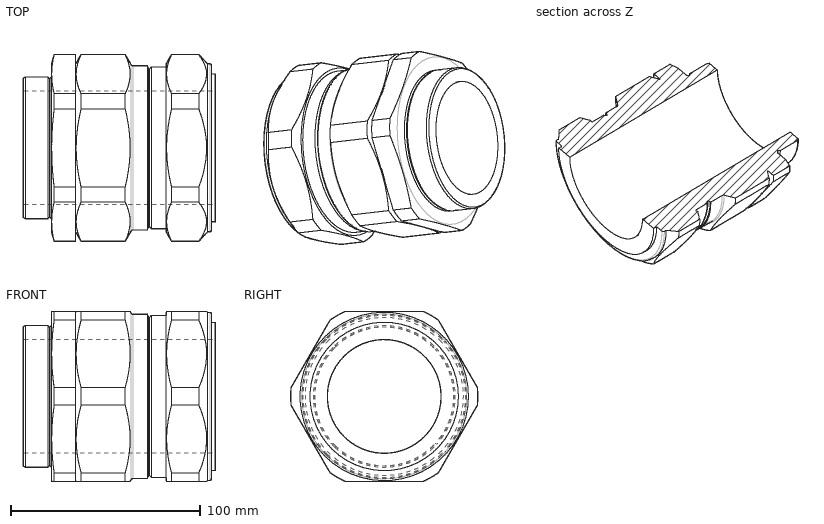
import cadquery as cq
import math

total_length = 101.7
bore_radius = 30.0
hex_sides = 6

across_flats = 90.0
corner_radius = 49.5
face_radius = 44.5
chamfer_angle = math.radians(30)
chamfer_slope = math.tan(chamfer_angle)
face_chamfer = (corner_radius - face_radius) * chamfer_slope

spigot_radius = 37.5
spigot_chamfer = 1.2
spigot_end = 13.1
spigot_relief_depth = 0.8

flange_start = 15.0
flange_end = 27.8
flange_chamfer = face_chamfer / 2

body_cone_start = 54.0
collar_radius = 43.5
collar_end = 65.9
collar_fillet = 1.0

ring_radius = 42.9
groove_radius = 41.8
groove_wall_run = 0.5
groove_floor = 0.4

nut_start = 75.6
nut_cone_start = 92.9
nut_cone_end = 97.5
lip_radius = 44.5
lip_end = 99.6
lip_round = 0.9

seal_radius = 39.2


def cylinder(start, end, radius):
    """Round bar along X between two stations."""
    return cq.Workplane("YZ", origin=(start, 0, 0)).circle(radius).extrude(end - start)


def revolve_profile(points):
    """Turn an (x, radius) outline, closed along the axis, about the X axis."""
    outline = [(points[0][0], 0), *points, (points[-1][0], 0)]
    return cq.Workplane("XY").polyline(outline).close().revolve(360, (0, 0, 0), (1, 0, 0))


def hexagon(start, end):
    """Hexagonal bar with corners on +Y and -Y and flats facing +Z and -Z."""
    corner_diameter = across_flats / math.cos(math.pi / hex_sides)
    return cq.Workplane("YZ", origin=(start, 0, 0)).polygon(hex_sides, corner_diameter).extrude(end - start)


def make_spigot():
    relief_radius = spigot_radius - spigot_relief_depth
    relief_start = spigot_end + spigot_relief_depth
    relief_end = flange_start - spigot_relief_depth
    return revolve_profile([
        (0, spigot_radius - spigot_chamfer * chamfer_slope),
        (spigot_chamfer, spigot_radius),
        (spigot_end, spigot_radius),
        (relief_start, relief_radius),
        (relief_end, relief_radius),
        (flange_start, spigot_radius),
    ])


def make_flange():
    turned = revolve_profile([
        (flange_start, face_radius),
        (flange_start + flange_chamfer, corner_radius),
        (flange_end, corner_radius),
    ])
    return hexagon(flange_start, flange_end).intersect(turned)


def make_body():
    """Hexagon whose rear cone blends through a concave fillet into the collar."""
    cone_end = body_cone_start + (corner_radius - collar_radius) * chamfer_slope
    turn = math.pi / 2 - chamfer_angle
    tangent = collar_fillet * math.tan(turn / 2)
    fillet_end = cone_end + tangent
    fillet_center_radius = collar_radius + collar_fillet
    fillet_start = (cone_end - tangent * math.cos(turn), collar_radius + tangent * math.sin(turn))
    fillet_middle = (
        fillet_end - collar_fillet * math.sin(turn / 2),
        fillet_center_radius - collar_fillet * math.cos(turn / 2),
    )
    turned = (
        cq.Workplane("XY")
        .moveTo(flange_end, 0)
        .lineTo(flange_end, face_radius)
        .lineTo(flange_end + face_chamfer, corner_radius)
        .lineTo(body_cone_start, corner_radius)
        .lineTo(*fillet_start)
        .threePointArc(fillet_middle, (fillet_end, collar_radius))
        .lineTo(collar_end, collar_radius)
        .lineTo(collar_end, 0)
        .close()
        .revolve(360, (0, 0, 0), (1, 0, 0))
    )
    return hexagon(flange_end, collar_end).intersect(turned)


def make_ring():
    floor_start = collar_end + groove_wall_run
    floor_end = floor_start + groove_floor
    ring_start = floor_end + ring_radius - groove_radius
    return revolve_profile([
        (collar_end, ring_radius),
        (floor_start, groove_radius),
        (floor_end, groove_radius),
        (ring_start, ring_radius),
        (nut_start, ring_radius),
    ])


def make_nut():
    turned = revolve_profile([
        (nut_start, face_radius),
        (nut_start + face_chamfer, corner_radius),
        (nut_cone_start, corner_radius),
        (nut_cone_end, lip_radius),
        (lip_end, lip_radius),
    ])
    return hexagon(nut_start, lip_end).intersect(turned.faces(">X").edges().fillet(lip_round))


def make_seal():
    return cylinder(lip_end, total_length, seal_radius)


result = make_spigot()
for section in (make_flange(), make_body(), make_ring(), make_nut(), make_seal()):
    result = result.union(section)
result = result.cut(cylinder(0, total_length, bore_radius))